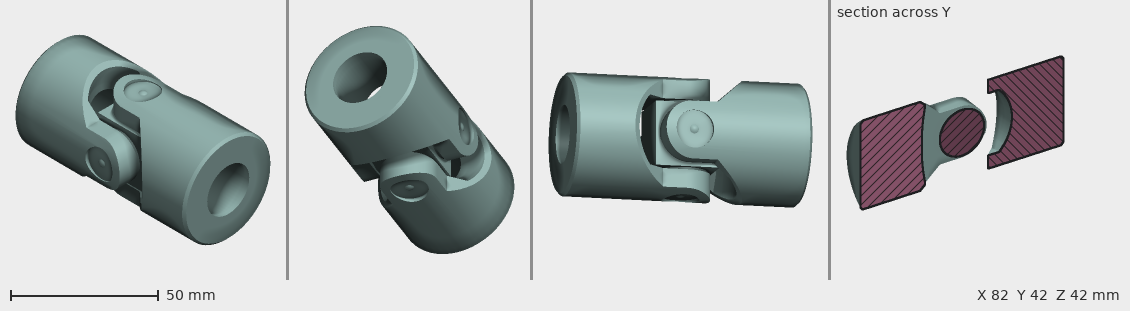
import cadquery as cq

joint_length = 82.0
hub_diameter = 42.0
bore_diameter = 20.0
end_chamfer = 1.0

ear_radius = 10.0
ear_inner_face = 12.05
shoulder_inner = 8.5
shoulder_outer = 20.9
cavity_depth = 20.7
cavity_edge_depth = 18.7
cavity_offset = 3.3

block_x = 22.1
block_y = 21.0
block_z = 22.1
boss_diameter = 18.0
pin_diameter = 13.0
pin_reach = 19.5
dome_diameter = 3.1
dome_height = 0.5

hub_radius = hub_diameter / 2
half_length = joint_length / 2


def cylinder_along_y(diameter, length):
    """Cylinder on the Y axis, centred on the joint centre."""
    return cq.Workplane("XZ").circle(diameter / 2).extrude(length / 2, both=True)


def fork_outline():
    """Hub with tapered shoulders and a round-ended ear, extruded across Y."""
    return (
        cq.Workplane("XZ")
        .moveTo(-half_length, -hub_radius)
        .lineTo(-shoulder_outer, -hub_radius)
        .lineTo(-shoulder_inner, -ear_radius)
        .lineTo(0, -ear_radius)
        .threePointArc((ear_radius, 0), (0, ear_radius))
        .lineTo(-shoulder_inner, ear_radius)
        .lineTo(-shoulder_outer, hub_radius)
        .lineTo(-half_length, hub_radius)
        .close()
        .extrude(hub_radius, both=True)
    )


def make_ear_gap():
    """Barrel revolved about a line parallel to Z, trimmed flat at the ears' inner faces."""
    barrel = (
        cq.Workplane("XZ")
        .moveTo(-cavity_offset, -hub_radius)
        .lineTo(-cavity_edge_depth, -hub_radius)
        .threePointArc((-cavity_depth, 0), (-cavity_edge_depth, hub_radius))
        .lineTo(-cavity_offset, hub_radius)
        .close()
        .revolve(360, (-cavity_offset, 0, 0), (-cavity_offset, 1, 0))
    )
    between_ears = cq.Workplane("XY").box(joint_length, 2 * ear_inner_face, hub_diameter)
    return barrel.intersect(between_ears)


def make_yoke():
    """Yoke on the -X side, with its ears at -Y and +Y."""
    hub = (
        cq.Workplane("YZ", origin=(-half_length, 0, 0))
        .circle(hub_radius)
        .extrude(joint_length)
        .faces("<X")
        .chamfer(end_chamfer)
    )
    bore = (
        cq.Workplane("YZ", origin=(-half_length, 0, 0))
        .circle(bore_diameter / 2)
        .extrude(half_length)
    )
    ear_gap = make_ear_gap()
    pin_holes = cylinder_along_y(pin_diameter, hub_diameter)
    return hub.intersect(fork_outline()).cut(bore).cut(ear_gap).cut(pin_holes)


def make_dome():
    """Small spherical cap on the end of the -Y pin."""
    rim = dome_diameter / 2
    return (
        cq.Workplane("XY")
        .moveTo(0, -pin_reach)
        .lineTo(rim, -pin_reach)
        .radiusArc((0, -pin_reach - dome_height), (rim**2 + dome_height**2) / (2 * dome_height))
        .close()
        .revolve(360, (0, 0, 0), (0, 1, 0))
    )


def make_pin_pair():
    """Two opposite bosses and domed pins along Y."""
    bosses = cylinder_along_y(boss_diameter, 2 * ear_inner_face)
    pins = cylinder_along_y(pin_diameter, 2 * pin_reach)
    dome = make_dome()
    return bosses.union(pins).union(dome).union(dome.mirror("XZ"))


def make_cross():
    block = cq.Workplane("XY").box(block_x, block_y, block_z)
    pin_pair = make_pin_pair()
    upright_pin_pair = pin_pair.rotate((0, 0, 0), (1, 0, 0), 90)
    return block.union(pin_pair).union(upright_pin_pair)


yokes = []
for half_turn, quarter_turn in [(0, 0), (180, 90)]:
    yoke = make_yoke().rotate((0, 0, 0), (0, 0, 1), half_turn)
    yokes.append(yoke.rotate((0, 0, 0), (1, 0, 0), quarter_turn))

cross = make_cross()

result = cq.Compound.makeCompound([*[yoke.val() for yoke in yokes], cross.val()])